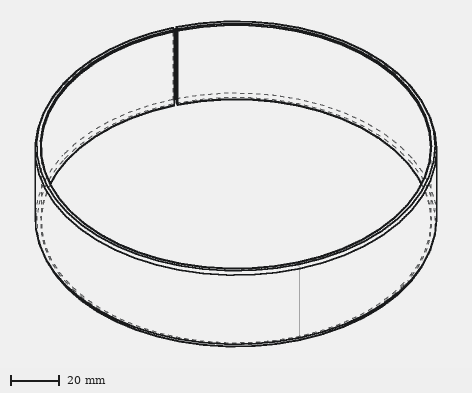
import cadquery as cq

outer_diameter = 165.0
wall_thickness = 2.5
band_height = 40.0
split_width = 1.44
outer_chamfer_width = 0.655
outer_chamfer_height = 1.8
inner_chamfer_width = 0.35
inner_chamfer_height = 0.6

outer_radius = outer_diameter / 2
inner_radius = outer_radius - wall_thickness


def make_band():
    """Thin ring with chamfered rims, long chamfers outside and small ones inside."""
    outer_rim_radius = outer_radius - outer_chamfer_width
    inner_rim_radius = inner_radius + inner_chamfer_width
    profile = [
        (inner_radius, inner_chamfer_height),
        (inner_rim_radius, 0),
        (outer_rim_radius, 0),
        (outer_radius, outer_chamfer_height),
        (outer_radius, band_height - outer_chamfer_height),
        (outer_rim_radius, band_height),
        (inner_rim_radius, band_height),
        (inner_radius, band_height - inner_chamfer_height),
    ]
    return cq.Workplane("XZ").polyline(profile).close().revolve(360, (0, 0), (0, 1))


def make_split():
    """Straight slit through the -X wall, full height, one side on the plane Y = 0."""
    slit = cq.Workplane("XY").box(outer_radius, split_width, band_height, centered=False)
    return slit.translate((-outer_radius, 0, 0))


result = make_band().cut(make_split())